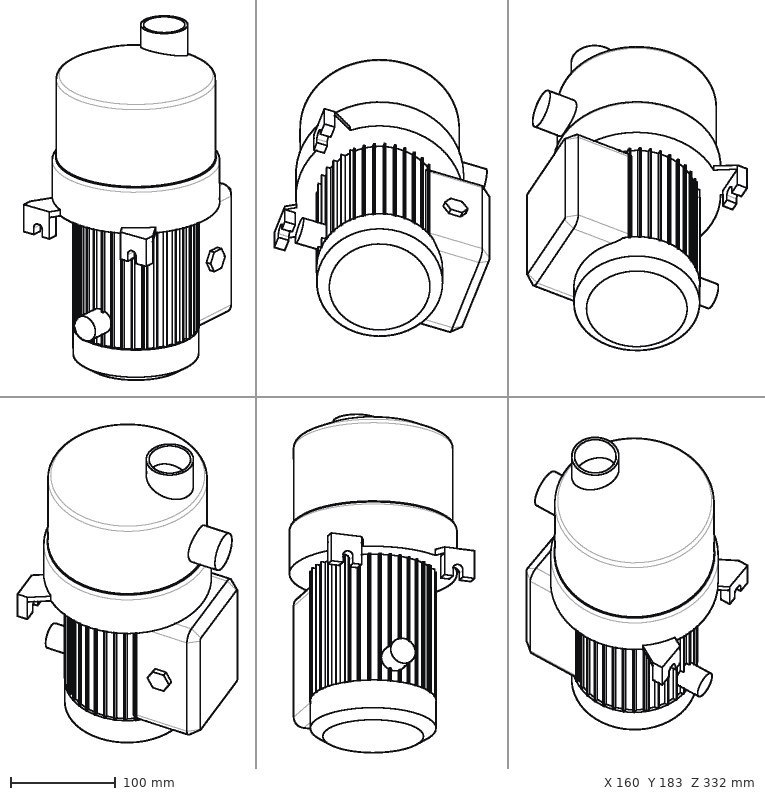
import cadquery as cq
import math


CAP_RADIUS = 60.0
CAP_BOTTOM_RADIUS = 48.0
CAP_TAPER_HEIGHT = 8.0
CAP_TOP = 36.0

MOTOR_TOP = 164.0
MOTOR_CORE_RADIUS = 57.0
FIN_HEIGHT = 3.5
FIN_THICKNESS = 1.5
FIN_PITCH = 10.0
FINS_PER_SIDE = 10

COLLAR_RADIUS = 80.0
COLLAR_TOP = 210.0
COLLAR_FILLET = 3.0
LIP_RADIUS = 76.5
LIP_HEIGHT = 1.0

HOUSING_RADIUS = 76.0
CROWN_TOP = 314.0
CROWN_RADIUS = 150.0
CROWN_EDGE_FILLET = 5.0

PORT_RADIUS = 22.5
PORT_BORE_RADIUS = 19.75
PORT_TOP = 332.0
PORT_Y = 45.0

BACK_PORT_RADIUS = 18.5
BACK_PORT_Z = 237.0
BACK_PORT_END_Y = 102.0

MOUNT_Y = -81.0
FOOT_OUTER_X = 73.0
FOOT_INNER_X = 42.3
FOOT_THICKNESS = 10.5
FOOT_BOTTOM = 142.0
FOOT_PLATE_THICKNESS = 6.0
FOOT_PLATE_BACK_Y = -51.0
FOOT_SIDE_ANGLE = 30.0
SLOT_WIDTH = 10.0
SLOT_X = 56.0
SLOT_TOP = 154.0

STUD_RADIUS = 12.5
STUD_Z = 60.0

BOX_WIDTH = 97.0
BOX_BOTTOM = 32.0
BOX_FRONT_Y = 25.0
BOX_BACK_Y = 97.0
BOX_CORNER_RADIUS = 10.0
BOX_BEVEL_DEPTH = 10.0
BOX_BEVEL_INSET = 8.0

ENTRY_LENGTH = 5.0
ENTRY_ACROSS_FLATS = 20.0
ENTRY_TOP_Y = 69.0


def vertical_cylinder(radius, bottom, top):
    return cq.Workplane("XY").workplane(offset=bottom).circle(radius).extrude(top - bottom)


def cylinder_along_y(radius, z, start_y, end_y):
    """Cylinder on X = 0, parallel to the Y axis."""
    profile = cq.Workplane("XZ", origin=(0, start_y, z)).circle(radius)
    return profile.extrude(start_y - end_y)


def make_end_cap():
    profile = cq.Workplane("XZ").polyline([
        (0, 0),
        (CAP_BOTTOM_RADIUS, 0),
        (CAP_RADIUS, CAP_TAPER_HEIGHT),
        (CAP_RADIUS, CAP_TOP),
        (0, CAP_TOP),
    ]).close()
    return profile.revolve(360, (0, 0, 0), (0, 1, 0))


def make_motor():
    """Round core with parallel upright fins on each of its four sides.

    The fins sit at equal angles around the core, but those of one side all point the same way.
    """
    middle_index = (FINS_PER_SIDE - 1) / 2
    fin_points = []
    for index in range(FINS_PER_SIDE):
        angle = math.radians(FIN_PITCH * (index - middle_index))
        fin_points.append((MOTOR_CORE_RADIUS * math.sin(angle), MOTOR_CORE_RADIUS * math.cos(angle)))
    fin_side = (
        cq.Workplane("XY").workplane(offset=CAP_TOP)
        .pushPoints(fin_points)
        .rect(FIN_THICKNESS, 2 * FIN_HEIGHT)
        .extrude(MOTOR_TOP - CAP_TOP)
    )
    motor = vertical_cylinder(MOTOR_CORE_RADIUS, CAP_TOP, MOTOR_TOP)
    for turn in (0, 90, 180, 270):
        motor = motor.union(fin_side.rotate((0, 0, 0), (0, 0, 1), turn))
    return motor


def make_collar():
    """Rounded collar with a low lip around the foot of the housing."""
    collar = vertical_cylinder(COLLAR_RADIUS, MOTOR_TOP, COLLAR_TOP)
    collar = collar.faces(">Z").edges().fillet(COLLAR_FILLET)
    return collar.union(vertical_cylinder(LIP_RADIUS, MOTOR_TOP, COLLAR_TOP + LIP_HEIGHT))


def make_housing():
    crown_center_z = CROWN_TOP - CROWN_RADIUS
    edge_z = crown_center_z + math.sqrt(CROWN_RADIUS**2 - HOUSING_RADIUS**2)
    half_angle = math.asin(HOUSING_RADIUS / CROWN_RADIUS) / 2
    crown_middle = (
        CROWN_RADIUS * math.sin(half_angle),
        crown_center_z + CROWN_RADIUS * math.cos(half_angle),
    )
    profile = (
        cq.Workplane("XZ")
        .moveTo(0, MOTOR_TOP)
        .lineTo(HOUSING_RADIUS, MOTOR_TOP)
        .lineTo(HOUSING_RADIUS, edge_z)
        .threePointArc(crown_middle, (0, CROWN_TOP))
        .close()
    )
    housing = profile.revolve(360, (0, 0, 0), (0, 1, 0))
    rim = housing.faces("%CYLINDER").edges(">Z")
    return rim.fillet(CROWN_EDGE_FILLET)


def make_crown_port(housing):
    """Open tube whose bore ends on the crown surface."""
    tube = (
        cq.Workplane("XY").workplane(offset=COLLAR_TOP)
        .center(0, PORT_Y)
        .circle(PORT_RADIUS)
        .circle(PORT_BORE_RADIUS)
        .extrude(PORT_TOP - COLLAR_TOP)
    )
    return tube.cut(housing)


def make_foot(side):
    """Slotted foot with a splayed plate that runs in under the collar; side is +1 or -1."""
    plate_top = MOTOR_TOP + FOOT_PLATE_THICKNESS
    pad_back_y = MOUNT_Y + FOOT_THICKNESS
    splay = math.tan(math.radians(FOOT_SIDE_ANGLE))
    plate_depth = FOOT_PLATE_BACK_Y - MOUNT_Y
    back_outer_x = FOOT_OUTER_X - splay * (FOOT_PLATE_BACK_Y - pad_back_y)
    back_inner_x = FOOT_INNER_X - splay * plate_depth
    plate = (
        cq.Workplane("XY").workplane(offset=MOTOR_TOP)
        .polyline([
            (side * FOOT_INNER_X, MOUNT_Y),
            (side * FOOT_OUTER_X, MOUNT_Y),
            (side * FOOT_OUTER_X, pad_back_y),
            (side * back_outer_x, FOOT_PLATE_BACK_Y),
            (side * back_inner_x, FOOT_PLATE_BACK_Y),
        ])
        .close()
        .extrude(FOOT_PLATE_THICKNESS)
    )
    pad = cq.Workplane("XY").box(
        FOOT_OUTER_X - FOOT_INNER_X,
        FOOT_THICKNESS,
        plate_top - FOOT_BOTTOM,
        centered=(True, False, False),
    ).translate((side * (FOOT_OUTER_X + FOOT_INNER_X) / 2, MOUNT_Y, FOOT_BOTTOM))
    slot_radius = SLOT_WIDTH / 2
    slot = (
        cq.Workplane("XZ", origin=(side * SLOT_X, MOUNT_Y, 0))
        .moveTo(-slot_radius, FOOT_BOTTOM)
        .lineTo(-slot_radius, SLOT_TOP - slot_radius)
        .threePointArc((0, SLOT_TOP), (slot_radius, SLOT_TOP - slot_radius))
        .lineTo(slot_radius, FOOT_BOTTOM)
        .close()
        .extrude(-FOOT_THICKNESS)
    )
    return plate.union(pad.cut(slot))


def make_terminal_box():
    """Box with rounded edges along Y and a bevel around its outer face."""
    box = cq.Workplane("XY").box(
        BOX_WIDTH, BOX_BACK_Y - BOX_FRONT_Y, MOTOR_TOP - BOX_BOTTOM, centered=(True, False, False)
    ).translate((0, BOX_FRONT_Y, BOX_BOTTOM))
    box = box.edges("|Y").fillet(BOX_CORNER_RADIUS)
    return box.faces(">Y").chamfer(BOX_BEVEL_INSET, BOX_BEVEL_DEPTH)


def make_cable_entry():
    center_y = ENTRY_TOP_Y - ENTRY_ACROSS_FLATS / 2
    center_z = (BOX_BOTTOM + MOTOR_TOP) / 2
    flat_angle = 30
    return (
        cq.Workplane("YZ", origin=(BOX_WIDTH / 2, center_y, center_z))
        .transformed(rotate=(0, 0, flat_angle))
        .polygon(6, ENTRY_ACROSS_FLATS, circumscribed=True)
        .extrude(ENTRY_LENGTH)
    )


housing = make_housing()
result = (
    make_end_cap()
    .union(make_motor())
    .union(make_collar())
    .union(housing)
    .union(make_crown_port(housing))
    .union(cylinder_along_y(BACK_PORT_RADIUS, BACK_PORT_Z, 0, BACK_PORT_END_Y))
    .union(cylinder_along_y(STUD_RADIUS, STUD_Z, 0, MOUNT_Y))
    .union(make_foot(1))
    .union(make_foot(-1))
    .union(make_terminal_box())
    .union(make_cable_entry())
)